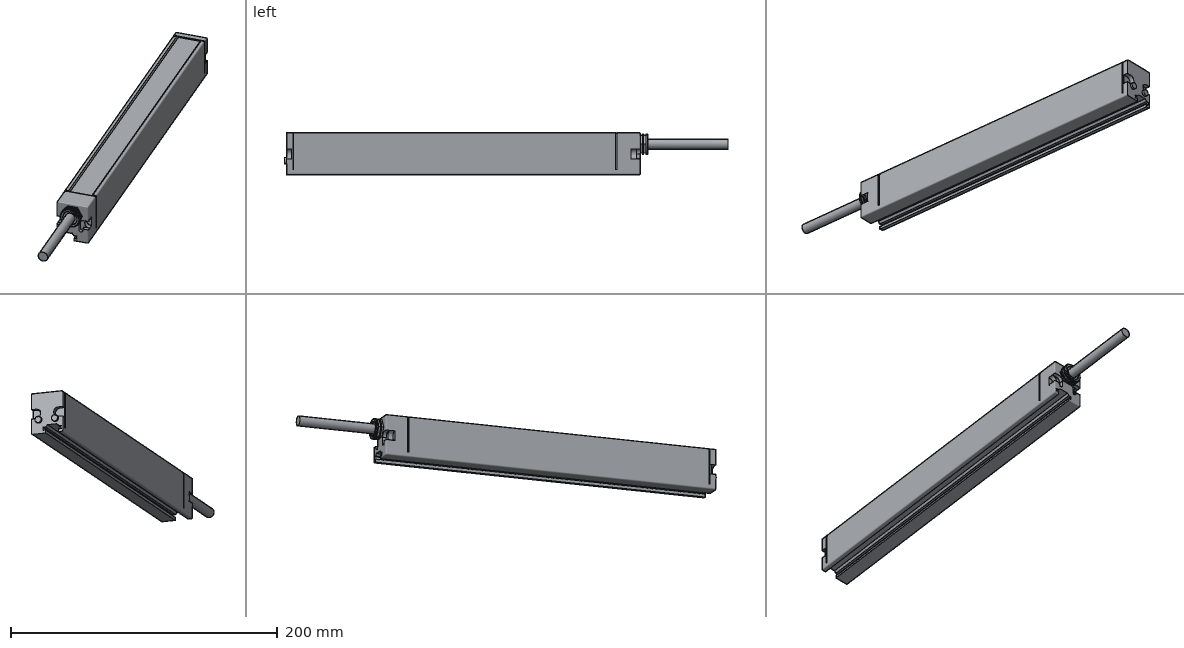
import cadquery as cq

width = 25.3
height = 31.5
overall_length = 333.0
cable_reach = 66.0
screw_head_height = 1.5
housing_length = overall_length - cable_reach - screw_head_height
edge_radius = 1.0
front_edge_radius = 0.5

front_cap_length = 18.0
rear_cap_length = 5.0
seam_bottom = 4.0
seam_depth = 0.3
front_seam_width = 1.0
rear_seam_width = 0.5

window_width = 19.3
window_depth = 1.0
window_taper = 1.0

slot_x = -4.0
mouth_width = 10.3
lip_height = 2.3
cavity_width = 14.3
cavity_top = 4.5
slot_height = 6.3
slot_roof_width = 7.3

notch_depth = 7.3
notch_height = 7.3
notch_z = 15.5
notch_inner_depth = 4.0
notch_step_length = 3.0
front_notch_length = 7.0
rear_notch_length = 3.5
screw_x = 6.5
screw_z = 10.5
screw_hole_diameter = 3.0
screw_head_diameter = 5.0

cable_z = 23.0
cable_diameter = 7.5
nut_corner_diameter = 15.5
nut_length = 4.3
collar_diameter = 15.3
collar_start = 1.5
collar_thickness = 0.5
gland_length = 6.0
gland_cap_chamfer = 0.5
gland_bore_diameter = 11.3
gland_bore_depth = 1.0


def along_y(x, z, y_start):
    """Workplane facing -Y with local X along X and local Y along Z; extrusions run towards -Y."""
    return cq.Workplane("XZ", origin=(x, y_start, z))


def block(x_min, x_max, y_min, y_max, z_min, z_max):
    size = (x_max - x_min, y_max - y_min, z_max - z_min)
    return cq.Workplane("XY").box(*size, centered=False).translate((x_min, y_min, z_min))


def make_shell():
    shell = block(-width / 2, width / 2, 0, housing_length, 0, height)
    return shell.edges("|Y").fillet(edge_radius).faces("<Y").edges().fillet(front_edge_radius)


def make_t_slot():
    right_side = [
        (mouth_width / 2, 0),
        (mouth_width / 2, lip_height),
        (cavity_width / 2, lip_height),
        (cavity_width / 2, cavity_top),
        (mouth_width / 2, cavity_top),
        (slot_roof_width / 2, slot_height),
    ]
    left_side = [(-x, z) for x, z in reversed(right_side)]
    return along_y(slot_x, 0, housing_length).polyline(right_side + left_side).close().extrude(housing_length)


def make_window_recess():
    length = housing_length - front_cap_length - rear_cap_length
    return (
        along_y(0, height, housing_length - rear_cap_length)
        .polyline([
            (-window_width / 2, 0),
            (window_width / 2, 0),
            (window_width / 2 - window_taper, -window_depth),
            (-window_width / 2 + window_taper, -window_depth),
        ])
        .close()
        .extrude(length)
    )


def make_seam(y_centre, seam_width):
    y_min = y_centre - seam_width / 2
    y_max = y_centre + seam_width / 2
    outer = block(-width / 2, width / 2, y_min, y_max, seam_bottom, height)
    core_x = width / 2 - seam_depth
    core = block(-core_x, core_x, y_min, y_max, seam_bottom, height - seam_depth)
    return outer.cut(core.edges("|Y and >Z").fillet(edge_radius))


def make_side_slot(depth, length):
    """Round-ended slot open at the +X side, from the front face inwards."""
    radius = notch_height / 2
    round_x = width / 2 - depth + radius
    mouth = block(round_x, width / 2, 0, length, notch_z - radius, notch_z + radius)
    return mouth.union(along_y(round_x, notch_z, length).circle(radius).extrude(length))


def make_screw_slot(length):
    """Narrow round-bottomed slot that runs from the side notch down to a screw position."""
    radius = screw_hole_diameter / 2
    hole = along_y(screw_x, screw_z, length).circle(radius).extrude(length)
    return hole.union(block(screw_x - radius, screw_x + radius, 0, length, screw_z, notch_z))


def make_front_notch():
    notch = make_side_slot(notch_depth, notch_step_length)
    notch = notch.union(make_side_slot(notch_inner_depth, front_notch_length))
    return notch.union(make_screw_slot(notch_step_length))


def make_rear_notch():
    notch = make_side_slot(notch_depth, rear_notch_length)
    return notch.translate((0, housing_length - rear_notch_length, 0))


def make_screw_head(side):
    outer_y = housing_length + screw_head_height
    return along_y(side * screw_x, screw_z, outer_y).circle(screw_head_diameter / 2).extrude(screw_head_height)


def make_housing():
    housing = make_shell().cut(make_t_slot()).cut(make_window_recess())
    housing = housing.cut(make_seam(front_cap_length, front_seam_width))
    housing = housing.cut(make_seam(housing_length - rear_cap_length, rear_seam_width))
    for notch in (make_front_notch(), make_rear_notch()):
        housing = housing.cut(notch).cut(notch.mirror("YZ"))
    for side in (-1, 1):
        housing = housing.union(make_screw_head(side))
    return housing


def make_cable():
    """Cable with its gland, seated on the front face of the housing."""
    nut = along_y(0, cable_z, 0).polygon(6, nut_corner_diameter).extrude(nut_length)
    collar = along_y(0, cable_z, -collar_start).circle(collar_diameter / 2).extrude(collar_thickness)
    cap = (
        along_y(0, cable_z, -nut_length)
        .circle(nut_corner_diameter / 2)
        .extrude(gland_length - nut_length)
        .faces("<Y")
        .chamfer(gland_cap_chamfer)
    )
    bore = (
        along_y(0, cable_z, -(gland_length - gland_bore_depth))
        .circle(gland_bore_diameter / 2)
        .extrude(gland_bore_depth)
    )
    cord = along_y(0, cable_z, 0).circle(cable_diameter / 2).extrude(cable_reach)
    return nut.union(collar).union(cap).cut(bore).union(cord)


housing = make_housing()
cable = make_cable()

result = cq.Compound.makeCompound([housing.val(), cable.val()])